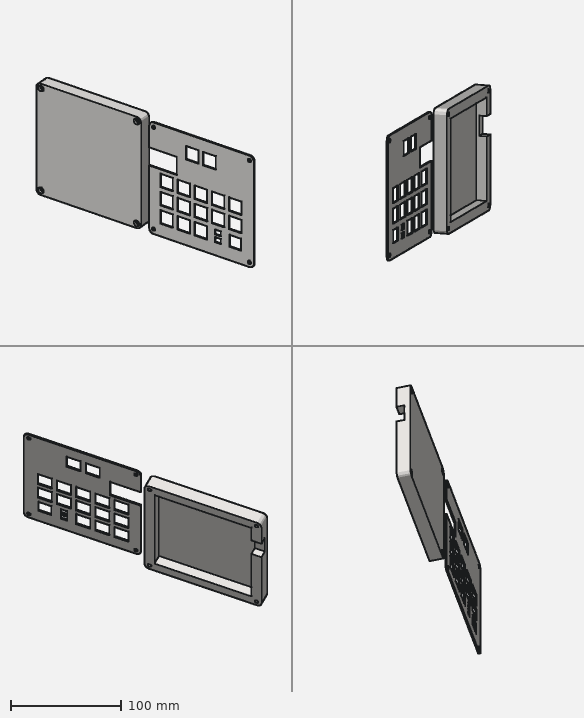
import cadquery as cq

side = 116.33
corner_radius = 5.0
body_gap = 8.77
plate_left = side + body_gap

screw_inset = 5.0
screw_diameter = 3.4
head_diameter = 6.0
head_depth = 3.0

case_depth = 13.0
wall = 10.0
floor = 3.0

port_bottom = 69.9
port_height = 18.9
port_depth = 7.5
port_plate_length = 30.6

plate_thickness = 1.5
key_size = 14.0
key_pitch = 19.05
first_key_x = 19.3
bottom_key_z = 20.3
full_row_columns = 5
bottom_row_columns = 3
top_row = 4
top_row_columns = (1.5, 2.5)

encoder_width = 13.0
encoder_height = 12.4
encoder_column = 4

window_width = 6.4
window_height = 5.2
window_spacing = 8.0
window_column = 3


def block(left, bottom, width, height, front, back):
    """Box given by its lower left corner in XZ and its extent along Y."""
    box = cq.Workplane("XY").box(width, back - front, height, centered=False)
    return box.translate((left, front, bottom))


def rounded_panel(left, thickness):
    panel = block(left, 0, side, side, 0, thickness)
    return panel.edges("|Y").fillet(corner_radius)


def screw_cylinders(left, diameter, depth):
    """One cylinder per corner, running from Y = 0 toward +Y."""
    near = screw_inset
    far = side - screw_inset
    points = [(left + x, z) for x in (near, far) for z in (near, far)]
    return cq.Workplane("XZ").pushPoints(points).circle(diameter / 2).extrude(-depth)


def make_case():
    inside = side - 2 * wall
    cavity = block(wall, wall, inside, inside, floor, case_depth)
    port = block(0, port_bottom, wall, port_height, case_depth - port_depth, case_depth)
    case = rounded_panel(0, case_depth).cut(cavity).cut(port)
    case = case.cut(screw_cylinders(0, screw_diameter, case_depth))
    return case.cut(screw_cylinders(0, head_diameter, head_depth))


def plate_opening(column, row, width, height, z_shift=0.0):
    """Rectangular opening centred on a place in the key grid."""
    center_x = plate_left + first_key_x + column * key_pitch
    center_z = bottom_key_z + row * key_pitch + z_shift
    return block(center_x - width / 2, center_z - height / 2, width, height, 0, plate_thickness)


def make_plate():
    plate = rounded_panel(plate_left, plate_thickness)
    plate = plate.cut(screw_cylinders(plate_left, screw_diameter, plate_thickness))
    plate = plate.cut(block(plate_left, port_bottom, port_plate_length, port_height, 0, plate_thickness))

    key_places = [(column, 0) for column in range(bottom_row_columns)]
    key_places += [(column, row) for row in (1, 2) for column in range(full_row_columns)]
    key_places += [(column, top_row) for column in top_row_columns]
    for column, row in key_places:
        plate = plate.cut(plate_opening(column, row, key_size, key_size))

    plate = plate.cut(plate_opening(encoder_column, 0, encoder_width, encoder_height))
    for shift in (-window_spacing / 2, window_spacing / 2):
        plate = plate.cut(plate_opening(window_column, 0, window_width, window_height, shift))
    return plate


case = make_case()
plate = make_plate()
result = cq.Compound.makeCompound([case.val(), plate.val()])